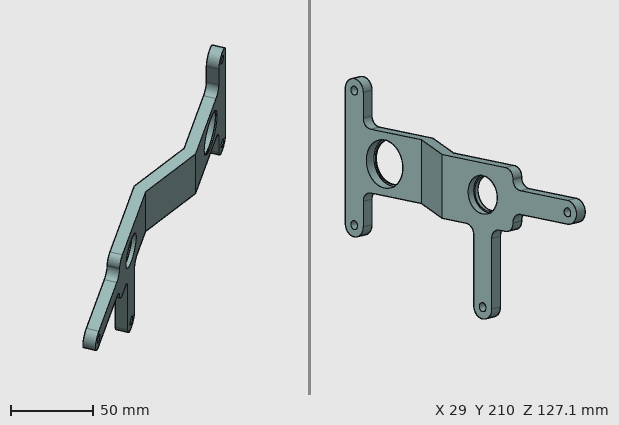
import cadquery as cq
import math

length = 210.0
thickness = 8.0
bend_offset = 21.0
bend_angle = 30.0
body_height = 40.0
arm_width = 15.0
arm_radius = arm_width / 2
corner_radius = 6.0

tip_hole_y = arm_radius
rear_hole_y = length - arm_radius
large_bore_y = rear_hole_y - 25.0
small_bore_y = tip_hole_y + 70.0
body_front_y = small_bore_y - 25.0
front_bend_y = small_bore_y + 33.4
rear_bend_y = front_bend_y + bend_offset / math.tan(math.radians(bend_angle))

rear_hole_z = 42.0
lower_hole_z = -70.1

mount_diameter = 5.5
large_bore_diameter = 30.0
large_lip_diameter = 28.0
small_bore_diameter = 24.0
small_lip_diameter = 22.0
large_lip_thickness = 1.0
small_lip_thickness = 3.0

total_depth = bend_offset + thickness


def bent_strip():
    """Cranked strip of constant thickness, tall enough to hold the whole outline."""
    miter = thickness * math.tan(math.radians(bend_angle / 2))
    strip_height = 2 * (abs(lower_hole_z) + arm_width)
    return (
        cq.Workplane("XY")
        .polyline([
            (0, 0),
            (0, front_bend_y),
            (bend_offset, rear_bend_y),
            (bend_offset, length),
            (total_depth, length),
            (total_depth, rear_bend_y - miter),
            (thickness, front_bend_y - miter),
            (thickness, 0),
        ])
        .close()
        .extrude(strip_height / 2, both=True)
    )


def block(y_start, y_end, z_start, z_end):
    """Box spanning the full X depth between the given Y and Z limits."""
    return (
        cq.Workplane("YZ")
        .center((y_start + y_end) / 2, (z_start + z_end) / 2)
        .rect(y_end - y_start, z_end - z_start)
        .extrude(total_depth)
    )


def disc(y, z, diameter, x_end=total_depth):
    """Cylinder along X from X = 0."""
    return cq.Workplane("YZ").center(y, z).circle(diameter / 2).extrude(x_end)


def outline():
    """Body with four arms; corners are filleted before the round ends are added."""
    body = block(body_front_y, rear_hole_y, -body_height / 2, body_height / 2)
    rear_arms = block(rear_hole_y - arm_radius, length, -rear_hole_z, rear_hole_z)
    front_arm = block(tip_hole_y, small_bore_y, -arm_radius, arm_radius)
    lower_arm = block(small_bore_y - arm_radius, small_bore_y + arm_radius, lower_hole_z, 0)
    shape = body.union(rear_arms).union(front_arm).union(lower_arm)

    margin = 2.0
    root_edges = cq.selectors.BoxSelector(
        (0, body_front_y - margin, -body_height / 2 - margin),
        (total_depth, rear_hole_y, body_height / 2 + margin),
    )
    shape = shape.edges("|X").edges(root_edges).fillet(corner_radius)
    for y, z in mount_places:
        shape = shape.union(disc(y, z, arm_width))
    return shape


def stepped_bore(y, bore_diameter, lip_diameter, bore_end_x):
    """Cutter for a bore from the -X face that leaves a lip at the +X face."""
    through = disc(y, 0, lip_diameter)
    return through.union(disc(y, 0, bore_diameter, bore_end_x))


mount_places = [
    (tip_hole_y, 0),
    (small_bore_y, lower_hole_z),
    (rear_hole_y, rear_hole_z),
    (rear_hole_y, -rear_hole_z),
]

result = bent_strip().intersect(outline())
for hole_y, hole_z in mount_places:
    result = result.cut(disc(hole_y, hole_z, mount_diameter))
large_bore_end_x = total_depth - large_lip_thickness
small_bore_end_x = thickness - small_lip_thickness
result = result.cut(stepped_bore(large_bore_y, large_bore_diameter, large_lip_diameter, large_bore_end_x))
result = result.cut(stepped_bore(small_bore_y, small_bore_diameter, small_lip_diameter, small_bore_end_x))